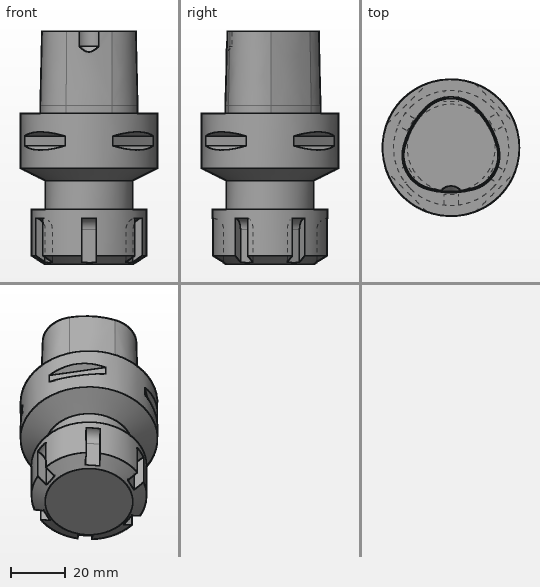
import cadquery as cq
import math

total_height = 85.0
nut_chamfer_height = 3.15
nut_top = 20.1
neck_top = 30.5
flange_cone_top = 35.0
flange_top = 55.0
taper_start = 58.05

flange_radius = 50.0 / 2
nut_radius = 42.0 / 2
neck_radius = 32.0 / 2

lobe_reach = 18.5
lobe_radius = 12.9
flank_reach = 16.4
shank_taper_angle = 1.3
lobe_angles = (90, 210, 330)

notch_radius = 4.5
notch_center_y = -18.45
notch_shoulder = 79.4

groove_count = 4
groove_floor_distance = 22.7
groove_floor_width = 3.5
groove_mouth_width = 6.6
groove_z = 45.0

slot_count = 6
slot_width = 5.2
slot_floor_distance = 17.0
slot_top = 16.8
slot_end_radius = nut_radius - slot_floor_distance

clearance = 1.7


def polar(radius, angle):
    """Point at a radius and an angle in degrees."""
    return (radius * math.cos(math.radians(angle)), radius * math.sin(math.radians(angle)))


def make_body():
    """Nut, neck and flange turned around Z."""
    return (
        cq.Workplane("XZ")
        .moveTo(0, 0)
        .lineTo(neck_radius, 0)
        .lineTo(nut_radius, nut_chamfer_height)
        .lineTo(nut_radius, nut_top)
        .lineTo(neck_radius, nut_top)
        .lineTo(neck_radius, neck_top)
        .lineTo(flange_radius, flange_cone_top)
        .lineTo(flange_radius, flange_top)
        .lineTo(0, flange_top)
        .close()
        .revolve(360, (0, 0), (0, 1))
    )


def shank_outline(z):
    """Closed three-lobed outline at height z."""
    lobe_offset = lobe_reach - lobe_radius
    gap = flank_reach - lobe_radius
    flank_offset = (lobe_offset**2 - gap**2) / (2 * gap - lobe_offset)
    flank_radius = flank_offset + flank_reach

    lobe_x, lobe_y = polar(lobe_offset, 60)
    joint_from_flank = math.degrees(math.atan2(lobe_y, lobe_x + flank_offset))
    joint_x = -flank_offset + flank_radius * math.cos(math.radians(joint_from_flank))
    joint_y = flank_radius * math.sin(math.radians(joint_from_flank))
    joint_distance = math.hypot(joint_x, joint_y)
    lobe_half_angle = 60 - math.degrees(math.atan2(joint_y, joint_x))

    first_joint = polar(joint_distance, lobe_angles[0] - lobe_half_angle)
    outline = cq.Workplane("XY").workplane(offset=z).moveTo(*first_joint)
    for angle in lobe_angles:
        lobe_end = polar(joint_distance, angle + lobe_half_angle)
        flank_end = polar(joint_distance, angle + 120 - lobe_half_angle)
        outline = outline.threePointArc(polar(lobe_reach, angle), lobe_end)
        outline = outline.threePointArc(polar(flank_reach, angle + 60), flank_end)
    return outline.close()


def make_shank():
    """Straight collar followed by the tapered shank."""
    collar = shank_outline(flange_top).extrude(taper_start - flange_top)
    taper = shank_outline(taper_start).extrude(total_height - taper_start, taper=shank_taper_angle)
    return collar.union(taper)


def make_notch():
    """Vertical drill shape with a 90 degree conical point."""
    return (
        cq.Workplane("XZ")
        .moveTo(0, notch_shoulder - notch_radius)
        .lineTo(notch_radius, notch_shoulder)
        .lineTo(notch_radius, total_height + clearance)
        .lineTo(0, total_height + clearance)
        .close()
        .revolve(360, (0, 0), (0, 1))
        .translate((0, notch_center_y, 0))
    )


def make_groove(angle):
    """Straight trapezoidal groove across the flange, facing the given angle."""
    depth = flange_radius - groove_floor_distance
    wall_slope = (groove_mouth_width - groove_floor_width) / 2 / depth
    outer_distance = flange_radius + clearance
    outer_half_width = groove_mouth_width / 2 + wall_slope * clearance
    return (
        cq.Workplane("XZ")
        .moveTo(groove_floor_distance, groove_z - groove_floor_width / 2)
        .lineTo(outer_distance, groove_z - outer_half_width)
        .lineTo(outer_distance, groove_z + outer_half_width)
        .lineTo(groove_floor_distance, groove_z + groove_floor_width / 2)
        .close()
        .extrude(flange_radius, both=True)
        .rotate((0, 0, 0), (0, 0, 1), angle)
    )


def make_slot(angle):
    """Wrench slot open at the bottom, its floor curving outward at the top."""
    arc_center_z = slot_top - slot_end_radius
    arc_reach = slot_end_radius * math.sqrt(0.5)
    arc_middle = (nut_radius - arc_reach, arc_center_z + arc_reach)
    return (
        cq.Workplane("XZ")
        .moveTo(slot_floor_distance, -clearance)
        .lineTo(slot_floor_distance, arc_center_z)
        .threePointArc(arc_middle, (nut_radius, slot_top))
        .lineTo(nut_radius + clearance, slot_top)
        .lineTo(nut_radius + clearance, -clearance)
        .close()
        .extrude(slot_width / 2, both=True)
        .rotate((0, 0, 0), (0, 0, 1), angle)
    )


result = make_body().union(make_shank()).cut(make_notch())

for index in range(groove_count):
    result = result.cut(make_groove(45 + index * 360 / groove_count))

for index in range(slot_count):
    result = result.cut(make_slot(-90 + index * 360 / slot_count))